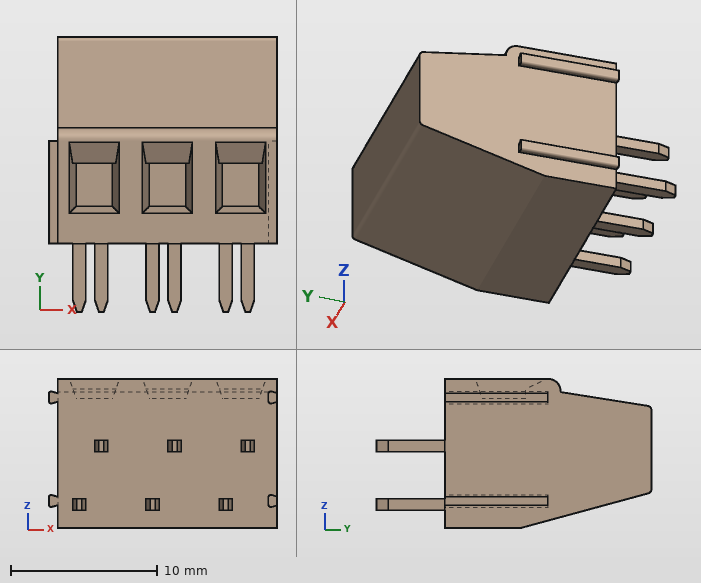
import cadquery as cq
import math

poles = 3
pole_pitch = 5.0
body_width = poles * pole_pitch
body_height = 10.2
body_depth = 14.12
total_depth = 18.8

shoulder_y = 7.91
shoulder_radius = 0.86
shoulder_foot_z = 9.3
top_slope = 9.0
bottom_slope = 15.2
bottom_slope_start_y = 5.15
back_edge_radius = 0.32

key_projection = 0.6
key_length = 7.01
key_neck_half_height = 0.3
key_outer_half_height = 0.47
key_edge_radius = 0.17
key_heights = (1.86, 8.93)

pocket_width = 3.42
pocket_front_y = 2.07
pocket_back_y = 6.94
pocket_depth = 1.33
wall_inset = 0.47
ramp_foot_y = 5.49
ramp_depth = 0.68

pin_width = 0.9
pin_height = 0.8
pin_length = total_depth - body_depth
tip_length = 0.8
tip_width = 0.34
lower_pin_x = 1.49
lower_pin_z = 1.62
upper_pin_x = 2.99
upper_pin_z = 5.62


def housing():
    """Side profile extruded along X, with a rounded top shoulder and rounded back edges."""
    top_back_z = shoulder_foot_z - (body_depth - shoulder_y) * math.tan(math.radians(top_slope))
    bottom_back_z = (body_depth - bottom_slope_start_y) * math.tan(math.radians(bottom_slope))
    arc_inset = shoulder_radius * (1 - math.cos(math.radians(45)))
    profile = (
        cq.Workplane("YZ")
        .lineTo(bottom_slope_start_y, 0)
        .lineTo(body_depth, bottom_back_z)
        .lineTo(body_depth, top_back_z)
        .lineTo(shoulder_y, shoulder_foot_z)
        .lineTo(shoulder_y, body_height - shoulder_radius)
        .threePointArc(
            (shoulder_y - arc_inset, body_height - arc_inset),
            (shoulder_y - shoulder_radius, body_height),
        )
        .lineTo(0, body_height)
        .close()
    )
    return profile.extrude(body_width).faces(">Y").edges("|X").fillet(back_edge_radius)


def dovetail(root_x, z):
    """Rounded dovetail bar widening toward -X from its neck at root_x."""
    outer_x = root_x - key_projection
    bar = (
        cq.Workplane("XZ")
        .polyline([
            (root_x, z - key_neck_half_height),
            (root_x, z + key_neck_half_height),
            (outer_x, z + key_outer_half_height),
            (outer_x, z - key_outer_half_height),
        ])
        .close()
        .extrude(-key_length)
    )
    return bar.faces("<X").edges("|Y").fillet(key_edge_radius)


def pocket(center_x):
    """Pocket with tapered front and side walls; its back wall is a ramp above an upright step."""
    floor_z = body_height - pocket_depth
    half_mouth = pocket_width / 2
    half_floor = half_mouth - wall_inset
    side_section = (
        cq.Workplane("YZ", origin=(center_x - half_mouth, 0, 0))
        .polyline([
            (pocket_front_y, body_height),
            (pocket_front_y + wall_inset, floor_z),
            (ramp_foot_y, floor_z),
            (ramp_foot_y, body_height - ramp_depth),
            (pocket_back_y, body_height),
        ])
        .close()
        .extrude(pocket_width)
    )
    cross_section = (
        cq.Workplane("XZ", origin=(center_x, 0, 0))
        .polyline([
            (-half_mouth, body_height),
            (-half_floor, floor_z),
            (half_floor, floor_z),
            (half_mouth, body_height),
        ])
        .close()
        .extrude(-body_depth)
    )
    return side_section.intersect(cross_section)


def pin(center_x, center_z):
    """Flat pin pointing along -Y with a tapered tip."""
    half = pin_width / 2
    half_tip = tip_width / 2
    shank_end = tip_length - pin_length
    return (
        cq.Workplane("XY", origin=(center_x, 0, center_z - pin_height / 2))
        .polyline([
            (-half, 0),
            (-half, shank_end),
            (-half_tip, -pin_length),
            (half_tip, -pin_length),
            (half, shank_end),
            (half, 0),
        ])
        .close()
        .extrude(pin_height)
    )


result = housing()

for key_z in key_heights:
    result = result.union(dovetail(0, key_z))
    result = result.cut(dovetail(body_width, key_z))

for pole in range(poles):
    pole_x = pole * pole_pitch
    result = result.cut(pocket(pole_x + pole_pitch / 2))
    result = result.union(pin(pole_x + lower_pin_x, lower_pin_z))
    result = result.union(pin(pole_x + upper_pin_x, upper_pin_z))